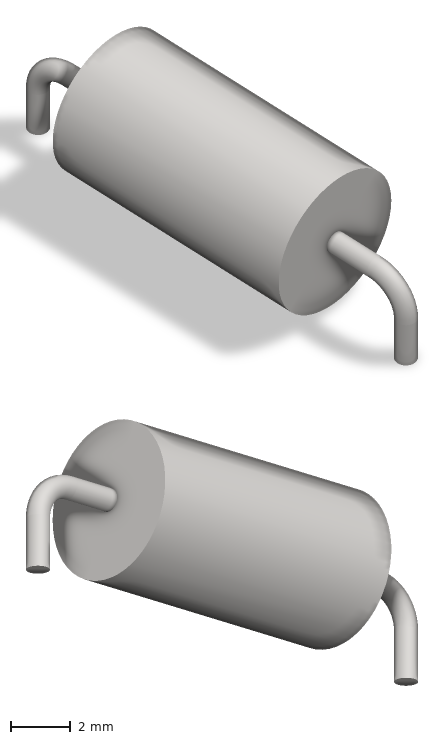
import cadquery as cq

overall_length = 17.58
body_length = 10.3
body_diameter = 5.55
lead_diameter = 0.8
lead_drop = 3.23
bend_radius = 1.4

body_end = body_length / 2
lead_tip_x = (overall_length - lead_diameter) / 2


def make_body():
    """Cylindrical component body lying along X."""
    return (
        cq.Workplane("YZ", origin=(-body_end, 0, 0))
        .circle(body_diameter / 2)
        .extrude(body_length)
    )


def make_lead(side):
    """Round wire leaving one body end and bending down; side is -1 or +1."""
    bend_start = (side * (lead_tip_x - bend_radius), 0)
    bend_end = (side * lead_tip_x, -bend_radius)
    centreline = (
        cq.Workplane("XZ")
        .moveTo(side * body_end, 0)
        .lineTo(*bend_start)
        .tangentArcPoint(bend_end, relative=False)
        .lineTo(side * lead_tip_x, -lead_drop)
    )
    return (
        cq.Workplane("YZ", origin=(side * body_end, 0, 0))
        .circle(lead_diameter / 2)
        .sweep(centreline)
    )


body = make_body()
leads = [make_lead(side) for side in (-1, 1)]

result = cq.Compound.makeCompound([body.val(), *[lead.val() for lead in leads]])